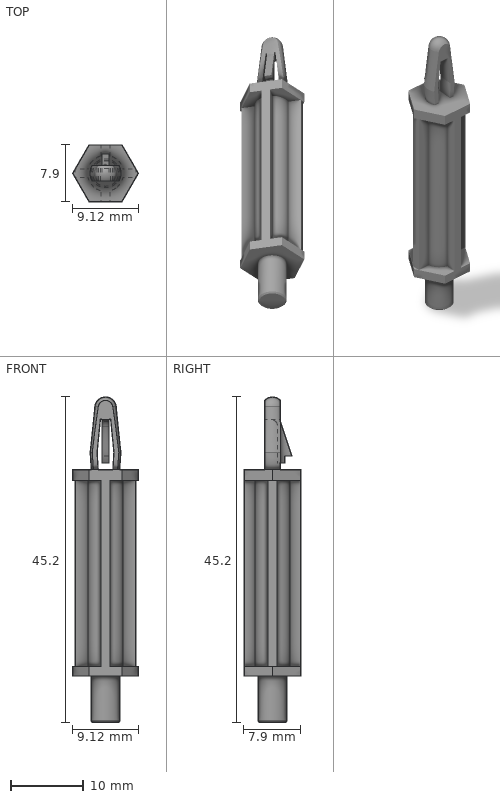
import cadquery as cq
import math

total_height = 45.2
pin_length = 6.45
body_height = 28.65
clip_height = total_height - pin_length - body_height

hex_sides = 6
hex_across_flats = 7.9
hex_across_corners = hex_across_flats / math.cos(math.pi / hex_sides)
lower_flange_thickness = 1.37
upper_flange_thickness = 1.5
core_diameter = 5.0
rib_thickness = 1.2
rib_span_x = hex_across_corners - rib_thickness * math.tan(math.pi / hex_sides)

pin_diameter = 4.0
pin_chamfer = 0.2

clip_base_z = body_height
clip_top_z = clip_base_z + clip_height
clip_thickness = 2.2
clip_base_radius = 2.0
clip_widest_radius = 2.15
clip_widest_height = 2.4
clip_widest_z = clip_base_z + clip_widest_height
dome_radius = 1.5
dome_height = 1.3
dome_edge_radius = math.sqrt(dome_radius**2 - (dome_radius - dome_height) ** 2)
dome_base_z = clip_top_z - dome_height

slot_depth_below_tip = 3.1
slot_top_z = clip_top_z - slot_depth_below_tip
slot_base_half_width = 1.0
slot_widest_half_width = 1.15
slot_top_half_width = 0.7

tongue_width = 1.0
tongue_front_y = 0.7
tongue_lip_y = 1.7
tongue_clearance = 0.9
tongue_bottom_z = clip_base_z + tongue_clearance
tongue_root_radius = 0.97
barb_tip_y = 2.7
barb_clearance = 1.9
barb_bottom_z = clip_base_z + barb_clearance
barb_depth_below_tip = 3.4
barb_top_z = clip_top_z - barb_depth_below_tip
clip_back_y = clip_thickness / 2


def make_flange(bottom_z, thickness):
    """Hexagonal flange with corners on the X axis."""
    return (
        cq.Workplane("XY")
        .workplane(offset=bottom_z)
        .polygon(hex_sides, hex_across_corners)
        .extrude(thickness)
    )


def make_body():
    """Round core with four ribs, closed by a flange at each end."""
    core = cq.Workplane("XY").circle(core_diameter / 2).extrude(body_height)
    rib_x = cq.Workplane("XY").rect(rib_span_x, rib_thickness).extrude(body_height)
    rib_y = cq.Workplane("XY").rect(rib_thickness, hex_across_flats).extrude(body_height)
    lower_flange = make_flange(0, lower_flange_thickness)
    upper_flange = make_flange(body_height - upper_flange_thickness, upper_flange_thickness)
    return core.union(rib_x).union(rib_y).union(lower_flange).union(upper_flange)


def make_pin():
    """Pin below the lower flange, chamfered at its free end."""
    pin = cq.Workplane("XY").circle(pin_diameter / 2).extrude(-pin_length)
    return pin.faces("<Z").chamfer(pin_chamfer)


def make_clip_legs():
    """Domed, tapered round post cut to a flat slab and split by a slot."""
    dome_centre_z = clip_top_z - dome_radius
    dome_mid_angle = (math.pi / 2 + math.asin((dome_base_z - dome_centre_z) / dome_radius)) / 2
    dome_mid_point = (
        dome_radius * math.cos(dome_mid_angle),
        dome_centre_z + dome_radius * math.sin(dome_mid_angle),
    )
    post = (
        cq.Workplane("XZ")
        .moveTo(0, clip_base_z)
        .lineTo(clip_base_radius, clip_base_z)
        .lineTo(clip_widest_radius, clip_widest_z)
        .lineTo(dome_edge_radius, dome_base_z)
        .threePointArc(dome_mid_point, (0, clip_top_z))
        .close()
        .revolve(360, (0, 0, 0), (0, 1, 0))
    )
    slab = (
        cq.Workplane("XY")
        .workplane(offset=clip_base_z)
        .rect(2 * clip_widest_radius, clip_thickness)
        .extrude(clip_height)
    )
    slot = (
        cq.Workplane("XZ")
        .polyline(
            [
                (-slot_base_half_width, clip_base_z),
                (-slot_widest_half_width, clip_widest_z),
                (-slot_top_half_width, slot_top_z),
                (slot_top_half_width, slot_top_z),
                (slot_widest_half_width, clip_widest_z),
                (slot_base_half_width, clip_base_z),
            ]
        )
        .close()
        .extrude(clip_thickness, both=True)
    )
    return post.intersect(slab).cut(slot)


def make_tongue():
    """Barbed tongue, blended into the slot roof by a rounded root."""
    root_start_y = tongue_front_y - tongue_root_radius
    root_end_z = slot_top_z - tongue_root_radius
    arc_offset = tongue_root_radius * math.sqrt(0.5)
    return (
        cq.Workplane("YZ")
        .moveTo(root_start_y, slot_top_z)
        .threePointArc(
            (root_start_y + arc_offset, root_end_z + arc_offset),
            (tongue_front_y, root_end_z),
        )
        .lineTo(tongue_front_y, tongue_bottom_z)
        .lineTo(tongue_lip_y, tongue_bottom_z)
        .lineTo(tongue_lip_y, barb_bottom_z)
        .lineTo(barb_tip_y, barb_bottom_z)
        .lineTo(clip_back_y, barb_top_z)
        .lineTo(clip_back_y, slot_top_z)
        .close()
        .extrude(tongue_width / 2, both=True)
    )


result = make_body().union(make_pin()).union(make_clip_legs()).union(make_tongue())